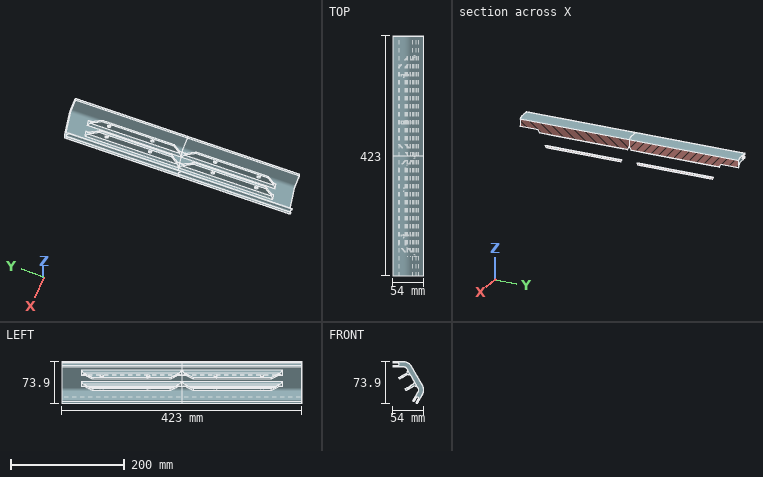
import cadquery as cq
import math

LENGTH = 423.0
WIDTH = 54.0
HEIGHT = 74.0
HALF_LENGTH = LENGTH / 2

BEND_ANGLE = 60
COS_BEND = math.cos(math.radians(BEND_ANGLE))
SIN_BEND = math.sin(math.radians(BEND_ANGLE))
HALF_BEND_TAN = math.tan(math.radians(BEND_ANGLE / 2))
WALL = 9.5
OUTER_RADIUS = 16.0
INNER_RADIUS = OUTER_RADIUS - WALL
CORNER_LOSS = OUTER_RADIUS * (1 / math.cos(math.radians(BEND_ANGLE / 2)) - 1)
ARM = (WIDTH + CORNER_LOSS - HEIGHT * COS_BEND / SIN_BEND) / (1 - COS_BEND)
WEB = HEIGHT / SIN_BEND - ARM

SLOT_WIDTH = 4.0
SLOT_DEPTH = 10.0
SLOT_CORNER_RADIUS = 1.3
TIP_RADIUS = 0.35

RIB_THICKNESS = 3.0
RIB_REACH = 20.5
RIB_SPACING = 23.3
FLARE = 4.0
RIB_START = 0.5
RIB_END = 177.2
RIB_TAPER = RIB_REACH
HOLE_DIAMETER = 6.0
HOLE_REACH = 13.0
HOLE_PLACES = (59.2, 141.3)

LOWER_RIB_EXTRA = 1.0
CHANNEL_WIDTH = HOLE_DIAMETER

OUTER_BEND = (ARM - WIDTH / 2, HEIGHT / 2)
WEB_DIRECTION = (COS_BEND, 0, -SIN_BEND)
WEB_MIDDLE = (
    OUTER_BEND[0] + WEB / 2 * COS_BEND,
    0,
    OUTER_BEND[1] - WEB / 2 * SIN_BEND,
)
SECTION = cq.Plane(origin=WEB_MIDDLE, xDir=WEB_DIRECTION, normal=(0, 1, 0))


def extrude_section(points, start, end):
    """Prism of a cross-section outline, running along Y from start to end."""
    return cq.Workplane(SECTION).workplane(offset=start).polyline(points).close().extrude(end - start)


def round_edge(body, point, radius):
    """Round the lengthwise edge of a body that passes through a cross-section point."""
    place = SECTION.toWorldCoords((*point, HALF_LENGTH / 2))
    return body.edges("|Y").edges(cq.NearestToPointSelector(place.toTuple())).fillet(radius)


def arm_point(side, distance, depth):
    """Cross-section point on one arm: distance from the sharp outer bend, depth below the outer face."""
    along_web = WEB / 2 + distance * COS_BEND - depth * SIN_BEND
    inward = distance * SIN_BEND + depth * COS_BEND
    return (side * along_web, inward)


def make_wall():
    inner_bend = WEB / 2 - WALL * HALF_BEND_TAN
    wall = extrude_section(
        [
            arm_point(-1, ARM, 0),
            (-WEB / 2, 0),
            (WEB / 2, 0),
            arm_point(1, ARM, 0),
            arm_point(1, ARM, WALL),
            (inner_bend, WALL),
            (-inner_bend, WALL),
            arm_point(-1, ARM, WALL),
        ],
        0,
        HALF_LENGTH,
    )
    for side in (-1, 1):
        wall = round_edge(wall, (side * WEB / 2, 0), OUTER_RADIUS)
        wall = round_edge(wall, (side * inner_bend, WALL), INNER_RADIUS)
    return wall


def cut_slot(wall, side):
    """Slot along the end of one arm, with its floor corners and the tips of its two lips rounded."""
    slot_top = (WALL - SLOT_WIDTH) / 2
    slot_bottom = slot_top + SLOT_WIDTH
    floor = ARM - SLOT_DEPTH
    slot = extrude_section(
        [
            arm_point(side, ARM, slot_top),
            arm_point(side, ARM, slot_bottom),
            arm_point(side, floor, slot_bottom),
            arm_point(side, floor, slot_top),
        ],
        0,
        HALF_LENGTH,
    )
    wall = wall.cut(slot)
    for depth in (slot_top, slot_bottom):
        wall = round_edge(wall, arm_point(side, floor, depth), SLOT_CORNER_RADIUS)
    for depth in (0, slot_top, slot_bottom, WALL):
        wall = round_edge(wall, arm_point(side, ARM, depth), TIP_RADIUS)
    return wall


def make_rib(place, extra):
    """Rib square to the web with a flared root, tapered ends and holes.

    Any extra thickness is added to the upper face and carries the channel along the holes.
    """
    half = RIB_THICKNESS / 2
    upper_face = place - half - extra
    flare_top = WALL + FLARE
    tip = WALL + RIB_REACH
    rib = extrude_section(
        [
            (place - half - FLARE, WALL),
            (upper_face, flare_top - extra),
            (upper_face, tip),
            (place + half, tip),
            (place + half, flare_top),
            (place + half + FLARE, WALL),
        ],
        RIB_START,
        RIB_END,
    )
    if extra > 0:
        channel_start = WALL + HOLE_REACH - CHANNEL_WIDTH / 2
        channel_end = channel_start + CHANNEL_WIDTH
        rib = rib.cut(
            extrude_section(
                [
                    (upper_face, channel_start),
                    (upper_face + extra, channel_start),
                    (upper_face + extra, channel_end),
                    (upper_face, channel_end),
                ],
                RIB_START,
                RIB_END,
            )
        )
    rib_plane = cq.Workplane(
        cq.Plane(
            origin=SECTION.toWorldCoords((place, 0, 0)),
            xDir=(0, 1, 0),
            normal=tuple(-c for c in WEB_DIRECTION),
        )
    )
    end_outline = [
        (RIB_START, WALL),
        (RIB_START + RIB_TAPER, tip),
        (RIB_END - RIB_TAPER, tip),
        (RIB_END, WALL),
    ]
    rib = rib.intersect(rib_plane.polyline(end_outline).close().extrude(half + FLARE, both=True))
    hole_centers = [(y, WALL + HOLE_REACH) for y in HOLE_PLACES]
    holes = rib_plane.pushPoints(hole_centers).circle(HOLE_DIAMETER / 2).extrude(half, both=True)
    return rib.cut(holes)


def make_half():
    half = make_wall()
    for side, rib_extra in ((-1, 0), (1, LOWER_RIB_EXTRA)):
        half = cut_slot(half, side)
        half = half.union(make_rib(side * RIB_SPACING / 2, rib_extra))
    return half


rear_half = make_half()
front_half = rear_half.mirror("XZ")

result = cq.Compound.makeCompound([rear_half.val(), front_half.val()])